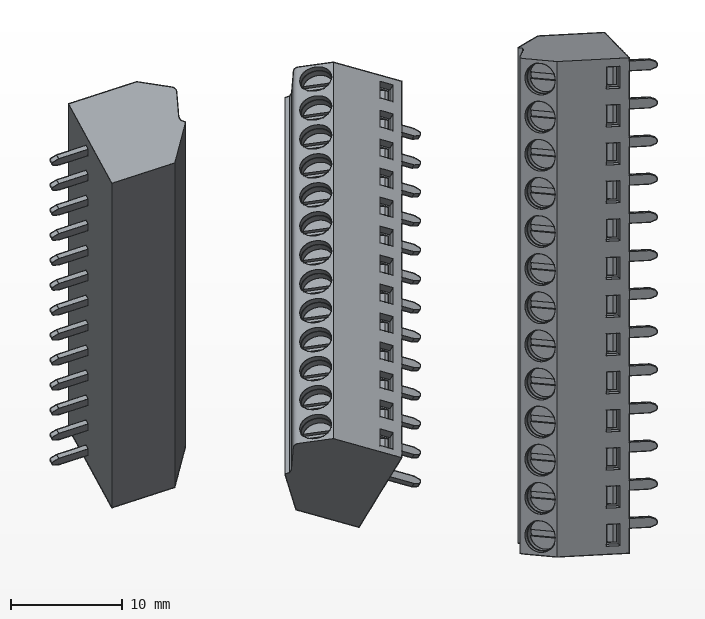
import cadquery as cq
import math

pole_count = 13
pitch = 3.5
row_length = pole_count * pitch
depth = 10.0
height = 9.5

screw_side_height = 6.62
wire_side_height = 6.1
screw_face_angle = 56.0
roof_angle = 19.2
ridge_radius = 0.6
step_start_x = 5.2
step_end_x = 5.65
step_crest = (6.0, 8.83)

screw_hole_diameter = 2.9
screw_hole_depth = 0.5
screw_diameter = 2.8
screw_recess = 1.1
screw_slot_width = 0.6
screw_slot_depth = 0.3
screw_hole_center_height = 7.96

window_length = 2.0
window_bottom = 0.85
window_top = 2.1
window_depth = 0.75
contact_length = 1.65
contact_bottom = 1.0
contact_bend = 1.3
contact_top = 1.85
contact_depth = 0.8
contact_top_depth = 1.05

pin_length = 3.5
pin_width = 0.9
pin_thickness = 0.5
pin_center_x = 4.3
pin_taper_length = 0.65
pin_nose_length = 0.2
pin_nose_width = 0.55


def find_ridge():
    """Sharp corner of the screw face and the roof, whose rounding peaks at the block height."""
    screw_face = math.radians(screw_face_angle)
    roof = math.radians(roof_angle)
    corner_distance = ridge_radius / math.cos((screw_face + roof) / 2)
    y = height - ridge_radius + corner_distance * math.cos((screw_face - roof) / 2)
    x = (y - screw_side_height) / math.tan(screw_face)
    return x, y


def make_body():
    ridge = find_ridge()
    step_height = ridge[1] - (step_start_x - ridge[0]) * math.tan(math.radians(roof_angle))
    outline = [
        (0, 0),
        (depth, 0),
        (depth, wire_side_height),
        step_crest,
        (step_end_x, step_height),
        (step_start_x, step_height),
        ridge,
        (0, screw_side_height),
    ]
    body = cq.Workplane("XY").polyline(outline).close().extrude(row_length)
    ridge_edge = cq.selectors.NearestToPointSelector((ridge[0], ridge[1], row_length / 2))
    return body.edges(ridge_edge).fillet(ridge_radius)


def make_screw_hole(z):
    angle = math.radians(screw_face_angle)
    inward = (math.sin(angle), -math.cos(angle), 0)
    x = (screw_hole_center_height - screw_side_height) / math.tan(angle)
    mouth = cq.Workplane(
        cq.Plane(origin=(x, screw_hole_center_height, z), xDir=(0, 0, 1), normal=inward)
    )
    hole = (
        mouth.workplane(offset=-screw_hole_depth)
        .circle(screw_hole_diameter / 2)
        .extrude(2 * screw_hole_depth)
    )
    recess = mouth.circle(screw_diameter / 2).extrude(screw_recess)
    slotted_head = mouth.circle(screw_diameter / 2).extrude(screw_recess + screw_slot_depth)
    slot = (
        mouth.rect(screw_slot_width, screw_diameter)
        .extrude(screw_recess + screw_slot_depth)
        .intersect(slotted_head)
    )
    return hole.union(recess).union(slot)


def make_window(z):
    pocket = (
        cq.Workplane("XY", origin=(0, 0, z - window_length / 2))
        .moveTo(0, window_bottom)
        .lineTo(window_depth, window_bottom)
        .lineTo(window_depth, window_top)
        .lineTo(0, window_top)
        .close()
        .extrude(window_length)
    )
    contact_outline = [
        (0, contact_bottom),
        (contact_depth, contact_bottom),
        (contact_depth, contact_bend),
        (contact_top_depth, contact_top),
        (0, contact_top),
    ]
    contact = (
        cq.Workplane("XY", origin=(0, 0, z - contact_length / 2))
        .polyline(contact_outline)
        .close()
        .extrude(contact_length)
    )
    return pocket.union(contact)


def make_pin(z):
    shank_end = pin_taper_length - pin_length
    nose_start = pin_nose_length - pin_length
    return (
        cq.Workplane("YZ", origin=(pin_center_x - pin_thickness / 2, 0, z))
        .moveTo(0, pin_width / 2)
        .lineTo(shank_end, pin_width / 2)
        .lineTo(nose_start, pin_nose_width / 2)
        .threePointArc((-pin_length, 0), (nose_start, -pin_nose_width / 2))
        .lineTo(shank_end, -pin_width / 2)
        .lineTo(0, -pin_width / 2)
        .close()
        .extrude(pin_thickness)
    )


result = make_body()
for pole in range(pole_count):
    pole_z = (pole + 0.5) * pitch
    result = result.cut(make_screw_hole(pole_z)).cut(make_window(pole_z)).union(make_pin(pole_z))